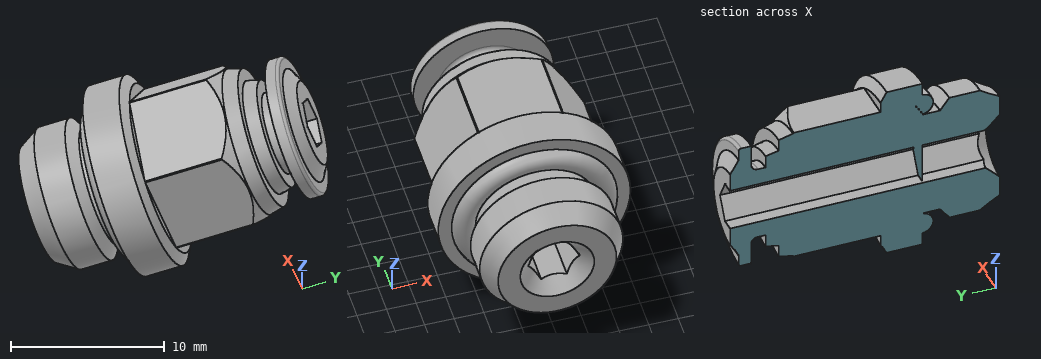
import cadquery as cq
import math


stub_tip_radius = 4.0
thread_radius = 4.85
tip_chamfer_end = 1.4
thread_end = 3.55
relief_start = 4.2
relief_radius = 4.0

seal_start = 4.65
seal_radius = 5.6

collar_start = 5.4
collar_end = 8.37
collar_radius = 6.5
collar_chamfer_width = 0.75
collar_chamfer_angle = 30.0

hex_across_flats = 10.0
hex_turned_radius = 5.75
hex_end = 14.5
hex_end_radius = 4.95

large_step_end = 15.5
large_step_end_radius = 4.7
small_step_end = 16.42
small_step_start_radius = 3.85
small_step_end_radius = 3.65

button_neck_radius = 2.75
button_neck_fillet = 0.45
button_flange_start = 17.4
button_flange_radius = 4.75
button_flange_end = 18.3
button_edge_round = 0.2
button_cone_radius = 3.85
button_face_radius = 2.85
overall_length = 18.9

socket_across_flats = 3.0
lead_in_radius = 2.5
lead_in_depth = 1.0


def corner_radius(across_flats):
    """Distance from the centre of a hexagon to its corners."""
    return across_flats / (2 * math.cos(math.radians(30)))


def hex_prism(across_flats, start, end):
    """Hexagonal prism along Y with two corners on the X axis."""
    return (
        cq.Workplane("XZ", origin=(0, start, 0))
        .polygon(6, 2 * corner_radius(across_flats))
        .extrude(start - end)
    )


def revolve_about_y(profile):
    """Turn a closed (radius, Y) profile through a full circle."""
    return profile.close().revolve(360, (0, 0, 0), (0, 1, 0))


def turned(points):
    """Solid of revolution bounded by straight (radius, Y) segments and the axis."""
    start = points[0][1]
    end = points[-1][1]
    return revolve_about_y(cq.Workplane("XY").polyline([(0, start), *points, (0, end)]))


def threaded_stub():
    return turned([
        (stub_tip_radius, 0),
        (thread_radius, tip_chamfer_end),
        (thread_radius, thread_end),
        (relief_radius, relief_start),
        (relief_radius, collar_start),
    ])


def seal_ring():
    section_radius = (seal_radius - relief_radius) / 2
    centre_radius = seal_radius - section_radius
    centre_y = seal_start + section_radius
    ring = cq.Solid.makeTorus(centre_radius, section_radius, cq.Vector(0, centre_y, 0), cq.Vector(0, 1, 0))
    return cq.Workplane(ring)


def collar():
    chamfer_height = collar_chamfer_width * math.tan(math.radians(collar_chamfer_angle))
    return turned([
        (collar_radius, collar_start),
        (collar_radius, collar_end - chamfer_height),
        (collar_radius - collar_chamfer_width, collar_end),
    ])


def hex_body():
    chamfer_size = hex_turned_radius - hex_end_radius
    envelope = turned([
        (hex_turned_radius, collar_start),
        (hex_turned_radius, hex_end - chamfer_size),
        (hex_end_radius, hex_end),
    ])
    return hex_prism(hex_across_flats, collar_start, hex_end).intersect(envelope)


def tapered_steps():
    large_step = turned([
        (hex_end_radius, hex_end),
        (large_step_end_radius, large_step_end),
    ])
    small_step = turned([
        (small_step_start_radius, large_step_end),
        (small_step_end_radius, small_step_end),
    ])
    return large_step.union(small_step)


def release_button():
    rim_radius = button_flange_radius - button_edge_round
    rim_start = button_flange_end - button_edge_round
    rim_shift = button_edge_round * math.sqrt(0.5)
    fillet_radius_end = button_neck_radius + button_neck_fillet
    fillet_start = button_flange_start - button_neck_fillet
    fillet_shift = button_neck_fillet * math.sqrt(0.5)
    return revolve_about_y(
        cq.Workplane("XY")
        .moveTo(0, small_step_end)
        .lineTo(button_neck_radius, small_step_end)
        .lineTo(button_neck_radius, fillet_start)
        .threePointArc(
            (fillet_radius_end - fillet_shift, fillet_start + fillet_shift),
            (fillet_radius_end, button_flange_start),
        )
        .lineTo(button_flange_radius, button_flange_start)
        .lineTo(button_flange_radius, rim_start)
        .threePointArc((rim_radius + rim_shift, rim_start + rim_shift), (rim_radius, button_flange_end))
        .lineTo(button_cone_radius, button_flange_end)
        .lineTo(button_face_radius, overall_length)
        .lineTo(0, overall_length)
    )


def through_socket():
    lead_in = turned([
        (lead_in_radius, 0),
        (lead_in_radius - lead_in_depth, lead_in_depth),
    ])
    return hex_prism(socket_across_flats, 0, overall_length).union(lead_in)


body = threaded_stub()
for section in (seal_ring(), collar(), hex_body(), tapered_steps(), release_button()):
    body = body.union(section)

result = body.cut(through_socket())